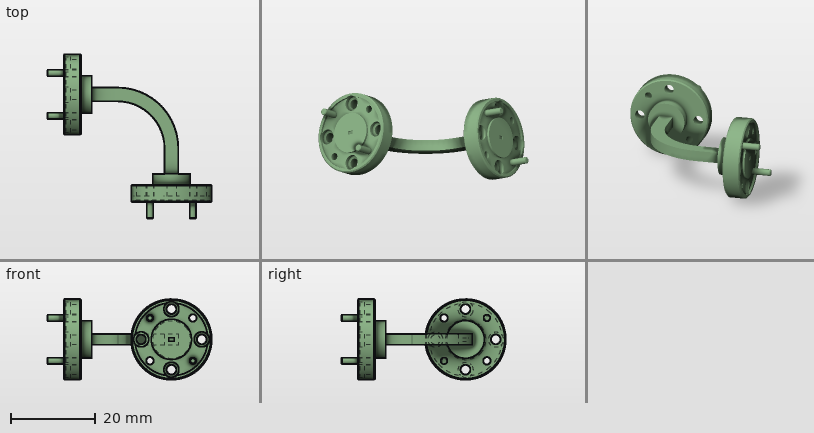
import cadquery as cq
import math

OVERALL_LENGTH = 38.8
FLANGE_DIAMETER = 19.05
FLANGE_THICKNESS = 4.1
FLANGE_CHAMFER = 0.27
HUB_DIAMETER = 8.9
HUB_LENGTH = 2.55

RING_INNER_DIAMETER = 9.5
RING_OUTER_DIAMETER = 17.2
RING_DEPTH = 0.55

PITCH_RADIUS = 7.15
BOLT_HOLE_DIAMETER = 2.25
COUNTERBORE_DIAMETER = 3.57
COUNTERBORE_DEPTH = 1.55
BOLT_ANGLES = (0, 90, 180, 270)
DOWEL_HOLE_DIAMETER = 1.7
DOWEL_HOLE_ANGLES = (45, 225)

PIN_DIAMETER = 1.55
PIN_PROTRUSION = 3.88
PIN_CHAMFER = 0.2
PIN_ANGLES = (135, 315)

TUBE_WIDTH = 3.3
TUBE_HEIGHT = 2.55
BEND_RADIUS = 12.7

WINDOW_WIDTH = 1.3
WINDOW_HEIGHT = 0.78
WINDOW_DEPTH = 0.27

FACE_DISTANCE = OVERALL_LENGTH - FLANGE_DIAMETER / 2 - PIN_PROTRUSION

PORT_TURNS = (0, -90)


def port_plane(depth=0.0):
    """Plane parallel to the -Y mating face, sunk by depth, with its normal pointing outward."""
    return cq.Workplane("XZ", origin=(0, depth - FACE_DISTANCE, 0))


def on_pitch_circle(angles):
    """Points on the pitch circle at the given angles in degrees."""
    return [
        (PITCH_RADIUS * math.cos(math.radians(angle)), PITCH_RADIUS * math.sin(math.radians(angle)))
        for angle in angles
    ]


def turned(shape, angle):
    """Copy of a shape turned about the Z axis through the origin."""
    return shape.rotate((0, 0, 0), (0, 0, 1), angle)


def holes(diameter, depth, angles):
    """Cylinders that cut holes into the -Y mating face."""
    return port_plane().pushPoints(on_pitch_circle(angles)).circle(diameter / 2).extrude(-depth)


def make_flange():
    """Flange of the -Y port, with its hub, face ring, window and holes."""
    disc = port_plane().circle(FLANGE_DIAMETER / 2).extrude(-FLANGE_THICKNESS)
    disc = disc.edges().chamfer(FLANGE_CHAMFER)
    hub = port_plane(FLANGE_THICKNESS).circle(HUB_DIAMETER / 2).extrude(-HUB_LENGTH)
    ring = (
        port_plane()
        .circle(RING_OUTER_DIAMETER / 2)
        .circle(RING_INNER_DIAMETER / 2)
        .extrude(-RING_DEPTH)
    )
    window = port_plane().rect(WINDOW_WIDTH, WINDOW_HEIGHT).extrude(-WINDOW_DEPTH)
    return (
        disc.union(hub)
        .cut(ring)
        .cut(window)
        .cut(holes(BOLT_HOLE_DIAMETER, FLANGE_THICKNESS, BOLT_ANGLES))
        .cut(holes(COUNTERBORE_DIAMETER, COUNTERBORE_DEPTH, BOLT_ANGLES))
        .cut(holes(DOWEL_HOLE_DIAMETER, FLANGE_THICKNESS, DOWEL_HOLE_ANGLES))
        .cut(holes(PIN_DIAMETER, FLANGE_THICKNESS, PIN_ANGLES))
    )


def make_tube():
    """Rectangular bar that runs from one flange back face round the bend to the other."""
    start = FACE_DISTANCE - FLANGE_THICKNESS
    mid_bend = BEND_RADIUS * (1 - math.sqrt(0.5))
    path = (
        cq.Workplane("XY")
        .moveTo(0, -start)
        .lineTo(0, -BEND_RADIUS)
        .threePointArc((-mid_bend, -mid_bend), (-BEND_RADIUS, 0))
        .lineTo(-start, 0)
    )
    return port_plane(FLANGE_THICKNESS).rect(TUBE_WIDTH, TUBE_HEIGHT).sweep(path)


def make_waveguide():
    """Bent tube with a flange at each end."""
    flange = make_flange()
    body = make_tube()
    for angle in PORT_TURNS:
        body = body.union(turned(flange, angle))
    return body


def make_pin(centre):
    """Dowel pin of the -Y port, from the flange's back face to its chamfered tip."""
    return (
        port_plane(FLANGE_THICKNESS)
        .center(*centre)
        .circle(PIN_DIAMETER / 2)
        .extrude(FLANGE_THICKNESS + PIN_PROTRUSION)
        .faces("<Y")
        .chamfer(PIN_CHAMFER)
    )


waveguide = make_waveguide()

pins = []
for port_angle in PORT_TURNS:
    for pin_centre in on_pitch_circle(PIN_ANGLES):
        pins.append(turned(make_pin(pin_centre), port_angle).val())

result = cq.Compound.makeCompound([waveguide.val(), *pins])